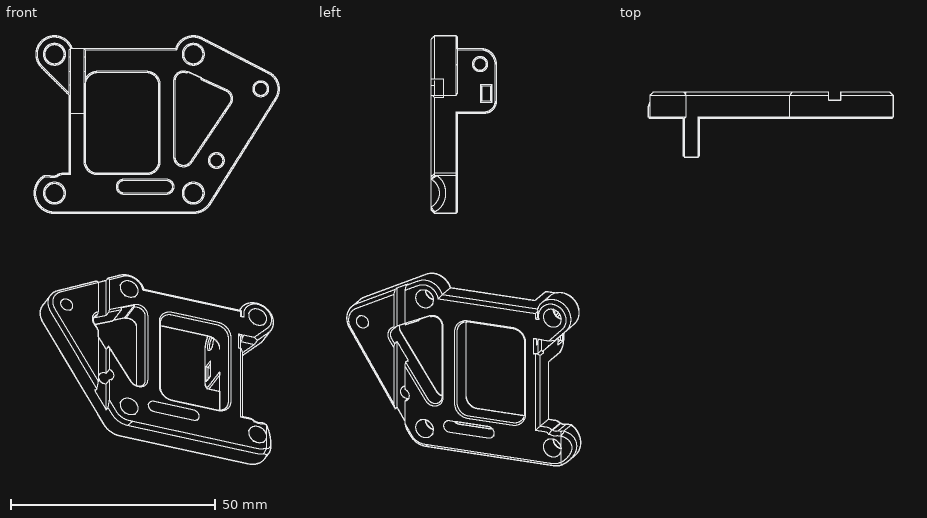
import cadquery as cq
import math


PLATE_DEPTH = 6.5
FRONT_CHAMFER = 0.35
BACK_CHAMFER = 0.9
LOWER_CORNER_R = 5.0
BOSS_R = 4.55
TOP_RAIL_Z = 35.4
LEFT_RAIL_X = 3.6

HOLE_PITCH = 33.95
MOUNT_HOLE_D = 4.7
LOWER_LEFT = (0, 0)
LOWER_RIGHT = (HOLE_PITCH, 0)
UPPER_RIGHT = (HOLE_PITCH, HOLE_PITCH)
UPPER_LEFT = (0, HOLE_PITCH)

SMALL_HOLE_D = 3.2
TIP_CENTRE = (50.45, 25.5)
ARM_HOLE_CENTRE = (39.6, 8.0)

FOOT_TOP_Z = 4.3
CORNER_BEVEL = 2.7
SHOULDER_X = 0.0
SHOULDER_R = 1.8
DIP_CENTRE = (-0.4, 5.65)
DIP_R = 1.5

TAB_THICKNESS = 3.95
WINDOW_RIGHT_X = 25.5
WINDOW_SILL_Z = 4.85
WINDOW_TOP_Z = 29.45
WINDOW_CORNER_R = 3.0
WINDOW_BACK_CHAMFER = 0.5
TRIANGLE_CORNER_R = 2.05
TRIANGLE_CORNERS = [(31.55, 8.8), (41.15, 23.1), (31.55, 27.5)]
RELIEF_LENGTH = 3.7
SLOT_D = 3.0
SLOT_LEFT_X = 17.0
SLOT_RIGHT_X = 27.35
SLOT_Z = 1.55

GROOVE_LEFT_X = 39.2
GROOVE_WIDTH = 2.95
GROOVE_DEPTH = 2.05
NOTCH_BOTTOM_Z = 23.35
NOTCH_FLOOR_HEIGHT = 2.45
NOTCH_DEPTH = 3.05
NOTCH_TOP_R = 2.4
NOTCH_INSET = 0.55

TAB_REACH = 9.55
TAB_BOTTOM_Z = 19.5
TAB_UPPER_R = 3.9
TAB_LOWER_R = 3.0
TAB_HOLE_D = 3.0
TAB_HOLE_REACH = 5.5
TAB_HOLE_Z = 31.55
TAB_SLOT_WIDTH = 2.15
TAB_SLOT_HEIGHT = 3.6
TAB_SLOT_REACH = 7.0
TAB_SLOT_Z = 24.35


def on_circle(centre, radius, angle):
    """Point of a circle at an angle in radians from +X."""
    return (centre[0] + radius * math.cos(angle), centre[1] + radius * math.sin(angle))


def tangent_normal(start, start_r, end, end_r):
    """Angle of the outward normal of the line that keeps two circles on its left."""
    dx = end[0] - start[0]
    dz = end[1] - start[1]
    return math.atan2(dz, dx) - math.acos((start_r - end_r) / math.hypot(dx, dz))


def arc_to(wire, centre, radius, start_angle, end_angle):
    """Continue a sketch with an arc between two angles of a circle."""
    middle = on_circle(centre, radius, (start_angle + end_angle) / 2)
    return wire.threePointArc(middle, on_circle(centre, radius, end_angle))


def rounded_hull(corners, radii):
    """Closed outline around circles listed counter-clockwise."""
    count = len(corners)
    normals = []
    for i in range(count):
        following = (i + 1) % count
        normals.append(tangent_normal(corners[i], radii[i], corners[following], radii[following]))

    wire = cq.Workplane("XZ").moveTo(*on_circle(corners[0], radii[0], normals[0]))
    for i in range(1, count + 1):
        this = i % count
        before = normals[i - 1]
        turn = (normals[this] - before) % (2 * math.pi)
        wire = wire.lineTo(*on_circle(corners[this], radii[this], before))
        wire = arc_to(wire, corners[this], radii[this], before, before + turn)
    return wire.close()


def slab(outline):
    """Full-depth piece of the plate with its back edges chamfered."""
    return outline.extrude(-PLATE_DEPTH).faces(">Y").chamfer(BACK_CHAMFER)


def frame():
    """Rectangle that carries the left rail, the top rail and the sill."""
    height = TOP_RAIL_Z + LOWER_CORNER_R
    width = HOLE_PITCH - LEFT_RAIL_X
    middle = (LEFT_RAIL_X + width / 2, TOP_RAIL_Z - height / 2)
    return slab(cq.Workplane("XZ").center(*middle).rect(width, height))


def right_arm():
    """Tapered arm that wraps the two right-hand mounting holes and the tip hole."""
    return slab(
        rounded_hull([LOWER_RIGHT, TIP_CENTRE, UPPER_RIGHT], [LOWER_CORNER_R, BOSS_R, BOSS_R])
    )


def upper_left_boss():
    """Boss joined to the left rail by a web that falls away at 45 degrees."""
    web_angle = math.radians(225)
    web_start = on_circle(UPPER_LEFT, BOSS_R, web_angle)
    root_x = LEFT_RAIL_X + TAB_THICKNESS
    root_z = web_start[1] - (root_x - web_start[0])
    wire = cq.Workplane("XZ").moveTo(*web_start).lineTo(root_x, root_z)
    wire = wire.lineTo(root_x, HOLE_PITCH).lineTo(BOSS_R, HOLE_PITCH)
    wire = arc_to(wire, UPPER_LEFT, BOSS_R, 0, web_angle)
    return slab(wire.close())


def lower_left_foot():
    """Rounded foot whose outer side is bevelled at 45 degrees towards the back."""
    inner_x = HOLE_PITCH / 2
    top_angle = math.pi - math.asin(FOOT_TOP_Z / LOWER_CORNER_R)
    wire = cq.Workplane("XZ").moveTo(0, -LOWER_CORNER_R).lineTo(inner_x, -LOWER_CORNER_R)
    wire = wire.lineTo(inner_x, FOOT_TOP_Z)
    wire = wire.lineTo(*on_circle(LOWER_LEFT, LOWER_CORNER_R, top_angle))
    wire = arc_to(wire, LOWER_LEFT, LOWER_CORNER_R, top_angle, 1.5 * math.pi)
    foot = wire.close().extrude(-PLATE_DEPTH)

    left = -LOWER_CORNER_R
    bevel = (
        cq.Workplane("XY", origin=(0, 0, left))
        .moveTo(left, PLATE_DEPTH - CORNER_BEVEL)
        .lineTo(left + CORNER_BEVEL, PLATE_DEPTH)
        .lineTo(left, PLATE_DEPTH)
        .close()
        .extrude(2 * LOWER_CORNER_R)
    )
    foot = foot.cut(bevel)
    back_edges = foot.faces(">Y").edges("not <X")
    bevel_rim = foot.faces("<(1, -1, 0)").edges("not >Y")
    return back_edges.add(bevel_rim).chamfer(BACK_CHAMFER)


def shoulder():
    """Rounded step from the foot up to the sill."""
    width = HOLE_PITCH / 2 - SHOULDER_X
    height = LOWER_CORNER_R + WINDOW_SILL_Z
    middle = (SHOULDER_X + width / 2, WINDOW_SILL_Z - height / 2)
    step = cq.Workplane("XZ").center(*middle).rect(width, height).extrude(-PLATE_DEPTH)
    step = step.edges("|Y and <X and >Z").fillet(SHOULDER_R)
    return step.faces(">Y").chamfer(BACK_CHAMFER)


def shoulder_dip():
    """Round hollow between foot and shoulder, flared to continue the back chamfer."""
    blank = cq.Workplane("XZ").center(*DIP_CENTRE).circle(DIP_R).extrude(-PLATE_DEPTH)
    flare = (
        cq.Workplane("XZ", origin=(DIP_CENTRE[0], PLATE_DEPTH, DIP_CENTRE[1]))
        .circle(DIP_R + BACK_CHAMFER)
        .extrude(BACK_CHAMFER, taper=45)
    )
    return blank.union(flare)


def window_cutters():
    """Cutters for the rectangular and the triangular window."""
    left = LEFT_RAIL_X + TAB_THICKNESS
    inset = WINDOW_CORNER_R
    window = rounded_hull(
        [
            (left + inset, WINDOW_SILL_Z + inset),
            (WINDOW_RIGHT_X - inset, WINDOW_SILL_Z + inset),
            (WINDOW_RIGHT_X - inset, WINDOW_TOP_Z - inset),
            (left + inset, WINDOW_TOP_Z - inset),
        ],
        [WINDOW_CORNER_R] * 4,
    )
    triangle = rounded_hull(TRIANGLE_CORNERS, [TRIANGLE_CORNER_R] * 3)
    return [outline.extrude(-PLATE_DEPTH) for outline in (window, triangle)]


def hole_cutters():
    """Cutters for the slot and the round holes."""
    slot = rounded_hull([(SLOT_LEFT_X, SLOT_Z), (SLOT_RIGHT_X, SLOT_Z)], [SLOT_D / 2] * 2)
    mounts = (
        cq.Workplane("XZ")
        .pushPoints([LOWER_LEFT, LOWER_RIGHT, UPPER_RIGHT, UPPER_LEFT])
        .circle(MOUNT_HOLE_D / 2)
    )
    small = cq.Workplane("XZ").pushPoints([TIP_CENTRE, ARM_HOLE_CENTRE]).circle(SMALL_HOLE_D / 2)
    return [outline.extrude(-PLATE_DEPTH) for outline in (slot, mounts, small)]


def triangle_relief():
    """Cutter that squares off the front chamfer along part of the triangle's upper edge."""
    right, left = TRIANGLE_CORNERS[1:]
    normal = tangent_normal(right, TRIANGLE_CORNER_R, left, TRIANGLE_CORNER_R)
    reach = TRIANGLE_CORNER_R + FRONT_CHAMFER
    along = normal - math.pi / 2
    start = on_circle(left, reach, normal)
    inner = on_circle(left, TRIANGLE_CORNER_R, normal)
    outline = [
        start,
        on_circle(start, RELIEF_LENGTH, along),
        on_circle(inner, RELIEF_LENGTH, along),
        inner,
    ]
    return cq.Workplane("XZ").polyline(outline).close().extrude(-PLATE_DEPTH)


def back_groove():
    """Channel running up the whole back of the right-hand arm."""
    bottom = -LOWER_CORNER_R
    height = HOLE_PITCH + BOSS_R + LOWER_CORNER_R
    return (
        cq.Workplane("XY")
        .box(GROOVE_WIDTH, GROOVE_DEPTH, height, centered=False)
        .translate((GROOVE_LEFT_X, PLATE_DEPTH - GROOVE_DEPTH, bottom))
    )


def back_notch():
    """Pocket in the back of the upper-left web, biting into the left rail."""
    outer_x = LEFT_RAIL_X - BOSS_R
    floor_x = LEFT_RAIL_X + NOTCH_INSET
    floor_bottom_z = NOTCH_BOTTOM_Z + NOTCH_INSET
    floor_top_z = floor_bottom_z + NOTCH_FLOOR_HEIGHT
    turn = math.acos(1 - NOTCH_INSET / NOTCH_TOP_R)
    top_z = floor_top_z + NOTCH_TOP_R * math.sin(turn)
    round_centre = (floor_x - NOTCH_TOP_R, floor_top_z)

    profile = cq.Workplane("XZ", origin=(0, PLATE_DEPTH, 0)).moveTo(outer_x, NOTCH_BOTTOM_Z)
    profile = profile.lineTo(LEFT_RAIL_X, NOTCH_BOTTOM_Z).lineTo(floor_x, floor_bottom_z)
    profile = profile.lineTo(floor_x, floor_top_z)
    profile = arc_to(profile, round_centre, NOTCH_TOP_R, 0, turn)
    pocket = profile.lineTo(outer_x, top_z).close().extrude(NOTCH_DEPTH)

    floor_chamfer = (
        cq.Workplane("XY", origin=(0, 0, floor_bottom_z))
        .moveTo(floor_x, PLATE_DEPTH - BACK_CHAMFER)
        .lineTo(floor_x + BACK_CHAMFER, PLATE_DEPTH)
        .lineTo(floor_x, PLATE_DEPTH)
        .close()
        .extrude(top_z - floor_bottom_z)
    )
    return pocket.union(floor_chamfer)


def tab():
    """Upright tab on the left rail, rooted inside the plate."""
    height = TOP_RAIL_Z - TAB_BOTTOM_Z
    body = (
        cq.Workplane("XY")
        .box(TAB_THICKNESS, TAB_REACH + FRONT_CHAMFER, height, centered=False)
        .translate((LEFT_RAIL_X, -TAB_REACH, TAB_BOTTOM_Z))
    )
    body = body.edges("|X and <Y and >Z").fillet(TAB_UPPER_R)
    body = body.edges("|X and <Y and <Z").fillet(TAB_LOWER_R)
    hole = (
        cq.Workplane("YZ", origin=(LEFT_RAIL_X, -TAB_HOLE_REACH, TAB_HOLE_Z))
        .circle(TAB_HOLE_D / 2)
        .extrude(TAB_THICKNESS)
    )
    slot = (
        cq.Workplane("YZ", origin=(LEFT_RAIL_X, -TAB_SLOT_REACH, TAB_SLOT_Z))
        .rect(TAB_SLOT_WIDTH, TAB_SLOT_HEIGHT)
        .extrude(TAB_THICKNESS)
    )
    body = body.cut(hole).cut(slot)
    return body.faces("<X or >X").edges("not >Y").chamfer(FRONT_CHAMFER)


plate = frame()
for piece in (right_arm(), upper_left_boss(), lower_left_foot(), shoulder()):
    plate = plate.union(piece)
plate = plate.cut(shoulder_dip())

for cutter in window_cutters():
    plate = plate.cut(cutter)
window_rims = plate.faces(">Y").val().innerWires()
plate = plate.newObject(window_rims).chamfer(WINDOW_BACK_CHAMFER)

for cutter in hole_cutters():
    plate = plate.cut(cutter)
plate = plate.faces("<Y").chamfer(FRONT_CHAMFER)

for cutter in (triangle_relief(), back_groove(), back_notch()):
    plate = plate.cut(cutter)

result = plate.union(tab())